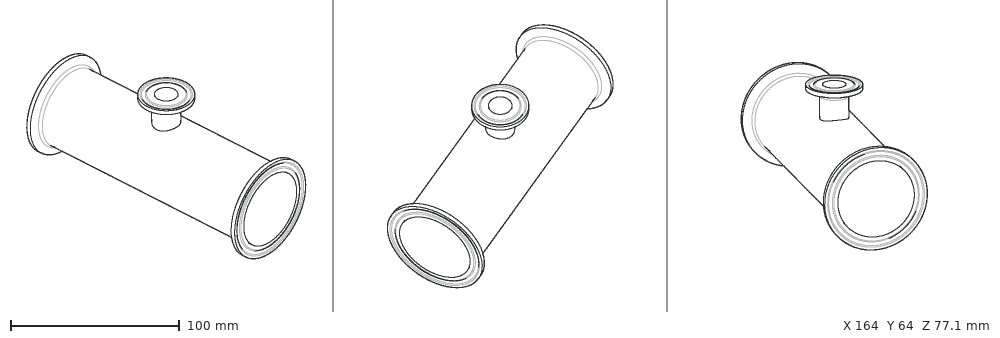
import cadquery as cq
import math

TUBE_LENGTH = 164.0
TUBE_RADIUS = 50.8 / 2
TUBE_BORE_RADIUS = 47.5 / 2
TUBE_FLANGE_RADIUS = 64.0 / 2
TUBE_GROOVE_RADIUS = 28.2

BRANCH_TOP = 45.1
BRANCH_RADIUS = 17.2 / 2
BRANCH_BORE_RADIUS = 14.0 / 2
BRANCH_FLANGE_RADIUS = 34.0 / 2
BRANCH_GROOVE_RADIUS = 13.6

RIM = 2.8
BLEND = 2.0
BACK_ANGLE = math.radians(20)
GROOVE_WALL_ANGLE = math.radians(70)
GROOVE_FLOOR_RADIUS = 1.23
GROOVE_LIP_RADIUS = 0.8


def gasket_groove(groove_radius, face):
    """Ring that cuts a groove with a round floor and rounded lips into the face at Z = face."""
    depth = (GROOVE_FLOOR_RADIUS + GROOVE_LIP_RADIUS) * (1 - math.cos(GROOVE_WALL_ANGLE))
    floor_half_width = GROOVE_FLOOR_RADIUS * math.sin(GROOVE_WALL_ANGLE)
    half_width = floor_half_width + GROOVE_LIP_RADIUS * math.sin(GROOVE_WALL_ANGLE)
    lip_drop = GROOVE_LIP_RADIUS * (1 - math.cos(GROOVE_WALL_ANGLE))
    middle_offset = half_width - GROOVE_LIP_RADIUS * math.sin(GROOVE_WALL_ANGLE / 2)
    middle_drop = GROOVE_LIP_RADIUS * (1 - math.cos(GROOVE_WALL_ANGLE / 2))
    return (
        cq.Workplane("XZ")
        .moveTo(groove_radius - half_width, face)
        .threePointArc(
            (groove_radius - middle_offset, face - middle_drop),
            (groove_radius - floor_half_width, face - lip_drop),
        )
        .threePointArc(
            (groove_radius, face - depth),
            (groove_radius + floor_half_width, face - lip_drop),
        )
        .threePointArc(
            (groove_radius + middle_offset, face - middle_drop),
            (groove_radius + half_width, face),
        )
        .close()
        .revolve(360, (0, 0, 0), (0, 1, 0))
    )


def pipe_with_ferrule(length, pipe_radius, flange_radius, groove_radius):
    """Solid pipe from the origin along +Z, with a grooved ferrule at its far end."""
    cone_depth = (flange_radius - pipe_radius) * math.tan(BACK_ANGLE)
    corner = length - RIM - cone_depth
    tangent = BLEND * math.tan((math.pi / 2 - BACK_ANGLE) / 2)
    blend_center = (pipe_radius + BLEND, corner - tangent)
    mid_angle = math.pi - (math.pi / 2 - BACK_ANGLE) / 2
    blend_middle = (
        blend_center[0] + BLEND * math.cos(mid_angle),
        blend_center[1] + BLEND * math.sin(mid_angle),
    )
    blend_end = (
        pipe_radius + tangent * math.cos(BACK_ANGLE),
        corner + tangent * math.sin(BACK_ANGLE),
    )
    body = (
        cq.Workplane("XZ")
        .lineTo(pipe_radius, 0)
        .lineTo(pipe_radius, corner - tangent)
        .threePointArc(blend_middle, blend_end)
        .lineTo(flange_radius, length - RIM)
        .lineTo(flange_radius, length)
        .lineTo(0, length)
        .close()
        .revolve(360, (0, 0, 0), (0, 1, 0))
    )
    return body.cut(gasket_groove(groove_radius, length))


half_tube = pipe_with_ferrule(
    TUBE_LENGTH / 2,
    TUBE_RADIUS,
    TUBE_FLANGE_RADIUS,
    TUBE_GROOVE_RADIUS,
)
right_half = half_tube.rotate((0, 0, 0), (0, 1, 0), 90)
left_half = half_tube.rotate((0, 0, 0), (0, 1, 0), -90)

branch = pipe_with_ferrule(
    BRANCH_TOP,
    BRANCH_RADIUS,
    BRANCH_FLANGE_RADIUS,
    BRANCH_GROOVE_RADIUS,
)

tube_bore = cq.Workplane("YZ").circle(TUBE_BORE_RADIUS).extrude(TUBE_LENGTH / 2, both=True)
branch_bore = cq.Workplane("XY").circle(BRANCH_BORE_RADIUS).extrude(BRANCH_TOP)

result = right_half.union(left_half).union(branch).cut(tube_bore).cut(branch_bore).clean()